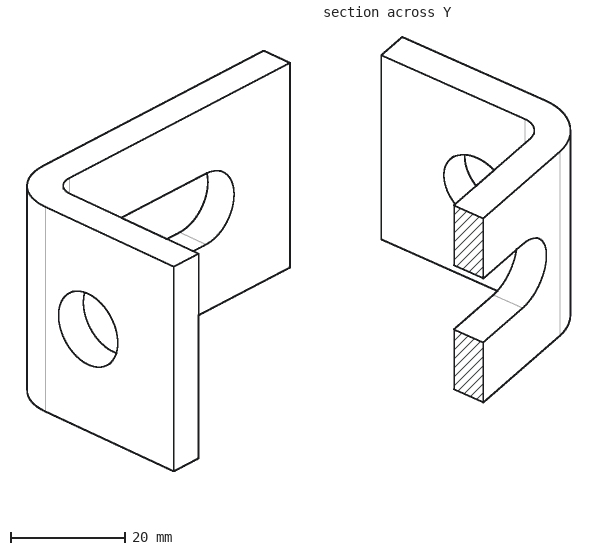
import cadquery as cq

foot_length = 41.275
wall_length = 66.675
width = 41.275
thickness = 6.35
inner_bend_radius = 3.96875
hole_diameter = 14.2875
slot_length = 38.1

outer_bend_radius = inner_bend_radius + thickness


def bent_strip():
    """L-shaped strip with its outer corner at the origin, extruded along Z."""
    return (
        cq.Workplane("XY")
        .moveTo(outer_bend_radius, 0)
        .lineTo(foot_length, 0)
        .lineTo(foot_length, thickness)
        .lineTo(outer_bend_radius, thickness)
        .radiusArc((thickness, outer_bend_radius), inner_bend_radius)
        .lineTo(thickness, wall_length)
        .lineTo(0, wall_length)
        .lineTo(0, outer_bend_radius)
        .radiusArc((outer_bend_radius, 0), -outer_bend_radius)
        .close()
        .extrude(width)
    )


def foot_hole():
    """Round hole through the short leg, at the middle of its overall length and width."""
    return (
        cq.Workplane("XZ")
        .center(foot_length / 2, width / 2)
        .circle(hole_diameter / 2)
        .extrude(-thickness)
    )


def wall_slot():
    """Slot along Y through the long leg, at the middle of its overall length and width."""
    return (
        cq.Workplane("YZ")
        .center(wall_length / 2, width / 2)
        .slot2D(slot_length, hole_diameter)
        .extrude(thickness)
    )


result = bent_strip().cut(foot_hole()).cut(wall_slot())